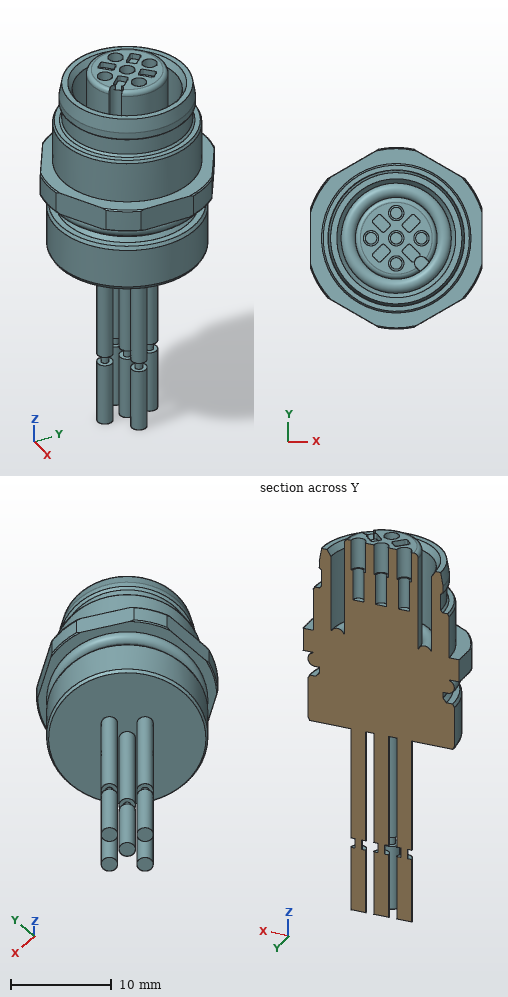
import cadquery as cq
import math

total_height = 40.9
wire_strip_bottom = 6.95
wire_strip_top = 7.95
collar_bottom = 20.0
collar_top = 25.07
neck_flare_top = 25.52
nut_bottom = 27.6
nut_top = 30.1
shoulder = 34.93
groove_top = 36.9
rib_bottom = 37.15
rib_top = 37.87
rim = 39.35

collar_diameter = 16.0
neck_diameter = 13.5
neck_flare_diameter = 14.25
body_diameter = 14.8
groove_diameter = 13.0
groove_flare_diameter = 13.4
rib_diameter = 13.55
rim_diameter = 13.0
bore_diameter = 10.9
bore_mouth_diameter = 11.78
insert_diameter = 8.1
seal_cord_diameter = 1.5
inner_seal_radius = (bore_diameter + insert_diameter) / 4

collar_bevel_width = 0.2
collar_bevel_height = 0.35
body_bevel_width = 0.15
body_bevel_height = 0.3
groove_flare_height = 0.25
bore_mouth_depth = 0.7
insert_edge_radius = 0.5

nut_across_flats = 17.0
nut_corner_diameter = 18.0
nut_corner_bevel = 0.12

contact_pitch_radius = 2.5
contact_mouth_diameter = 1.5
contact_mouth_depth = 3.27
contact_bore_diameter = 1.15
contact_bore_depth = 6.55
wire_diameter = 1.65
wire_core_diameter = 0.78
wire_overlap = 0.4

pocket_inner_radius = 1.25
pocket_outer_radius = 2.9
pocket_width = 1.1
pocket_corner_radius = 0.2
pocket_depth = 0.6
pocket_angles = (45, 135, 225, 315)
keyway_angle = 315
keyway_width = 1.3
keyway_center_radius = 3.48
keyway_floor_clearance = 0.2

contact_points = [(0, 0)] + [
    (contact_pitch_radius * math.cos(math.radians(a)), contact_pitch_radius * math.sin(math.radians(a)))
    for a in (0, 90, 180, 270)
]


def rod(diameter, bottom, top):
    """Cylinder on the connector axis between two heights."""
    return cq.Workplane("XY").workplane(offset=bottom).circle(diameter / 2).extrude(top - bottom)


def rods(diameter, bottom, top):
    """One cylinder at every contact position between two heights."""
    plane = cq.Workplane("XY").workplane(offset=bottom)
    return plane.pushPoints(contact_points).circle(diameter / 2).extrude(top - bottom)


def revolve_profile(profile):
    """Turn a closed (radius, height) outline about the connector axis."""
    return profile.close().revolve(360, (0, 0, 0), (0, 1, 0))


def housing():
    """Turned outside: collar, neck, outer sealing ring, body, groove and tapered rib."""
    collar_r = collar_diameter / 2
    neck_r = neck_diameter / 2
    body_r = body_diameter / 2
    groove_r = groove_diameter / 2
    seal_r = seal_cord_diameter / 2
    seal_bottom = nut_bottom - seal_cord_diameter
    seal_axis_r = collar_r - seal_r
    profile = (
        cq.Workplane("XZ")
        .moveTo(0, collar_bottom)
        .lineTo(collar_r - collar_bevel_width, collar_bottom)
        .lineTo(collar_r, collar_bottom + collar_bevel_height)
        .lineTo(collar_r, collar_top - collar_bevel_height)
        .lineTo(collar_r - collar_bevel_width, collar_top)
        .lineTo(neck_flare_diameter / 2, collar_top)
        .lineTo(neck_r, neck_flare_top)
        .lineTo(neck_r, seal_bottom)
        .lineTo(seal_axis_r, seal_bottom)
        .threePointArc((collar_r, seal_bottom + seal_r), (seal_axis_r, nut_bottom))
        .lineTo(body_r, nut_bottom)
        .lineTo(body_r, shoulder - body_bevel_height)
        .lineTo(body_r - body_bevel_width, shoulder)
        .lineTo(groove_flare_diameter / 2, shoulder)
        .lineTo(groove_r, shoulder + groove_flare_height)
        .lineTo(groove_r, groove_top)
        .lineTo(rib_diameter / 2, rib_bottom)
        .lineTo(rib_diameter / 2, rib_top)
        .lineTo(rim_diameter / 2, rim)
        .lineTo(0, rim)
    )
    return revolve_profile(profile)


def nut():
    """Hexagon with two flats facing X and its corners turned down to a bevelled cylinder."""
    hexagon_diameter = nut_across_flats / math.cos(math.radians(30))
    hexagon = (
        cq.Workplane("XY")
        .workplane(offset=nut_bottom)
        .transformed(rotate=(0, 0, 30))
        .polygon(6, hexagon_diameter)
        .extrude(nut_top - nut_bottom)
    )
    corner_limit = rod(nut_corner_diameter, nut_bottom, nut_top).faces("<Z or >Z").chamfer(nut_corner_bevel)
    return hexagon.intersect(corner_limit)


def socket_cavity():
    """Flat-floored bore with a conical mouth, open to the rim."""
    bore_r = bore_diameter / 2
    profile = (
        cq.Workplane("XZ")
        .moveTo(0, nut_top)
        .lineTo(bore_r, nut_top)
        .lineTo(bore_r, rim - bore_mouth_depth)
        .lineTo(bore_mouth_diameter / 2, rim)
        .lineTo(0, rim)
    )
    return revolve_profile(profile)


def inner_seal():
    """Sealing ring squeezed between insert and bore, half sunk in the cavity floor."""
    cord = cq.Workplane("XZ").center(inner_seal_radius, nut_top).circle(seal_cord_diameter / 2)
    return cord.revolve(360, (-inner_seal_radius, 0, 0), (-inner_seal_radius, 1, 0))


def insert():
    """Contact carrier that stands proud of the rim, with a rounded top edge."""
    return rod(insert_diameter, nut_bottom, total_height).faces(">Z").edges().fillet(insert_edge_radius)


def contact_holes():
    """Stepped socket hole at every contact position."""
    mouths = rods(contact_mouth_diameter, total_height - contact_mouth_depth, total_height)
    bores = rods(contact_bore_diameter, total_height - contact_bore_depth, total_height)
    return bores.union(mouths)


def pocket(angle):
    """Shallow rounded rectangle between two neighbouring contacts."""
    length = pocket_outer_radius - pocket_inner_radius
    middle_radius = (pocket_outer_radius + pocket_inner_radius) / 2
    return (
        cq.Workplane("XY")
        .box(length, pocket_width, pocket_depth, centered=(True, True, False))
        .edges("|Z")
        .fillet(pocket_corner_radius)
        .translate((middle_radius, 0, total_height - pocket_depth))
        .rotate((0, 0, 0), (0, 0, 1), angle)
    )


def keyway():
    """Round-ended slot down the side of the insert, ending just above the inner sealing ring."""
    floor = nut_top + seal_cord_diameter / 2 + keyway_floor_clearance
    height = total_height - floor
    run_out = inner_seal_radius - keyway_center_radius
    plane = cq.Workplane("XY").workplane(offset=floor)
    round_end = plane.center(keyway_center_radius, 0).circle(keyway_width / 2).extrude(height)
    mouth = plane.center(keyway_center_radius + run_out / 2, 0).rect(run_out, keyway_width).extrude(height)
    return round_end.union(mouth).rotate((0, 0, 0), (0, 0, 1), keyway_angle)


def wires():
    """Insulated wires below the collar, each with a short stripped length."""
    tips = rods(wire_diameter, 0, wire_strip_bottom)
    cores = rods(wire_core_diameter, 0, collar_bottom)
    leads = rods(wire_diameter, wire_strip_top, collar_bottom + wire_overlap)
    return tips.union(cores).union(leads)


result = housing().union(nut()).cut(socket_cavity()).union(inner_seal()).union(insert())
for pocket_angle in pocket_angles:
    result = result.cut(pocket(pocket_angle))
result = result.cut(contact_holes()).cut(keyway()).union(wires())